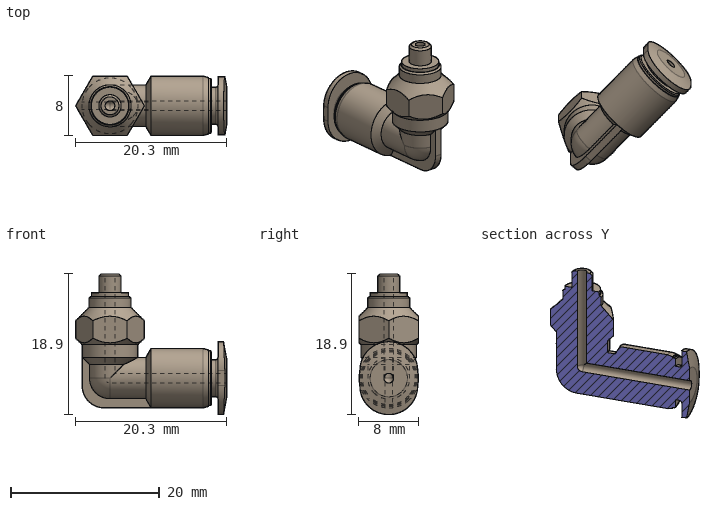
import cadquery as cq
import math

tube_radius = 5.6 / 2
bore_radius = 1.3 / 2

stem_radius = 7.5 / 2
hex_across_flats = 8.0
hex_corner_radius = hex_across_flats / 2 / math.cos(math.pi / 6)
collar_radius = 5.65 / 2
collar_chamfer = 0.25
washer_radius = 5.0 / 2
spigot_radius = 3.0 / 2
spigot_chamfer = 0.3

spigot_top = 14.0
washer_top = 11.5
washer_bottom = 11.0
nut_top = 9.5
nut_bottom = 4.5
stem_bottom = tube_radius
stem_cone_bottom = stem_bottom - (stem_radius - tube_radius)

body_radius = 8.0 / 2
body_start = 5.5
body_cone_angle = math.radians(60)
body_cone_start = body_start - (body_radius - tube_radius) / math.tan(body_cone_angle)
taper_start = 12.5
taper_end = 13.2
taper_angle = math.radians(15)
taper_end_radius = body_radius - (taper_end - taper_start) * math.tan(taper_angle)
lip_radius = 7.39 / 2
lip_chamfer = 0.15
body_end = 13.63
neck_radius = 5.0 / 2
neck_fillet = 0.35

ring_start = 14.5
ring_end = 15.7
ring_height = 9.8
ring_width = 7.8
ring_face_radius = 2.5
ring_bevel_depth = 0.45

fin_thickness = 1.0
fin_corner_radius = 3.0


def make_vertical_leg():
    """Turned profile of the spigot, washer, collar, nut blank and stem, with hexagon flats."""
    nut_upper_corner = nut_top - (hex_corner_radius - collar_radius)
    nut_lower_corner = nut_bottom + (hex_corner_radius - stem_radius)
    turned = (
        cq.Workplane("XZ")
        .moveTo(0, 0)
        .lineTo(tube_radius, 0)
        .lineTo(tube_radius, stem_cone_bottom)
        .lineTo(stem_radius, stem_bottom)
        .lineTo(stem_radius, nut_bottom)
        .lineTo(hex_corner_radius, nut_lower_corner)
        .lineTo(hex_corner_radius, nut_upper_corner)
        .lineTo(collar_radius, nut_top)
        .lineTo(collar_radius, washer_bottom - collar_chamfer)
        .lineTo(collar_radius - collar_chamfer, washer_bottom)
        .lineTo(washer_radius, washer_bottom)
        .lineTo(washer_radius, washer_top)
        .lineTo(spigot_radius, washer_top)
        .lineTo(spigot_radius, spigot_top - spigot_chamfer)
        .lineTo(spigot_radius - spigot_chamfer, spigot_top)
        .lineTo(0, spigot_top)
        .close()
        .revolve(360, (0, 0, 0), (0, 1, 0))
    )
    hexagon = cq.Workplane("XY").polygon(6, 2 * hex_corner_radius).extrude(spigot_top)
    return turned.intersect(hexagon)


def make_horizontal_leg():
    """Turned tube, push-in body with its stepped lip, and the neck that carries the release ring."""
    fillet_start = ring_start - neck_fillet
    fillet_radius = neck_radius + neck_fillet
    fillet_middle_offset = neck_fillet * math.sin(math.pi / 4)
    return (
        cq.Workplane("XY")
        .moveTo(0, 0)
        .lineTo(0, tube_radius)
        .lineTo(body_cone_start, tube_radius)
        .lineTo(body_start, body_radius)
        .lineTo(taper_start, body_radius)
        .lineTo(taper_end, taper_end_radius)
        .lineTo(taper_end, lip_radius)
        .lineTo(body_end - lip_chamfer, lip_radius)
        .lineTo(body_end, lip_radius - lip_chamfer)
        .lineTo(body_end, neck_radius)
        .lineTo(fillet_start, neck_radius)
        .threePointArc(
            (fillet_start + fillet_middle_offset, fillet_radius - fillet_middle_offset),
            (ring_start, fillet_radius),
        )
        .lineTo(ring_start, 0)
        .close()
        .revolve(360, (0, 0, 0), (1, 0, 0))
    )


def make_release_ring():
    """Obround disc, tall along Z, cut back by a shallow cone on its outer face."""
    ring_radius = ring_height / 2
    disc = (
        cq.Workplane("YZ", origin=(ring_start, 0, 0))
        .slot2D(ring_height, ring_width, 90)
        .extrude(ring_end - ring_start)
    )
    envelope = (
        cq.Workplane("XY")
        .moveTo(ring_start, 0)
        .lineTo(ring_start, ring_radius)
        .lineTo(ring_end - ring_bevel_depth, ring_radius)
        .lineTo(ring_end, ring_face_radius)
        .lineTo(ring_end, 0)
        .close()
        .revolve(360, (0, 0, 0), (1, 0, 0))
    )
    return disc.intersect(envelope)


def make_fin():
    """Flat L-shaped rib in the XZ plane, flush with the stem and the body."""
    corner_x = fin_corner_radius - stem_radius
    corner_z = fin_corner_radius - body_radius
    corner_middle_offset = fin_corner_radius * math.sin(math.pi / 4)
    return (
        cq.Workplane("XZ")
        .moveTo(-stem_radius, stem_bottom)
        .lineTo(-stem_radius, corner_z)
        .threePointArc(
            (corner_x - corner_middle_offset, corner_z - corner_middle_offset),
            (corner_x, -body_radius),
        )
        .lineTo(body_start, -body_radius)
        .lineTo(body_start, 0)
        .lineTo(0, 0)
        .lineTo(0, stem_bottom)
        .close()
        .extrude(fin_thickness / 2, both=True)
    )


def make_passage():
    """Flow passage from the spigot tip, round the elbow, and out through the release ring."""
    vertical_bore = cq.Workplane("XY").circle(bore_radius).extrude(spigot_top)
    horizontal_bore = cq.Workplane("YZ").circle(bore_radius).extrude(ring_end)
    bore_ball = cq.Workplane("XY").sphere(bore_radius)
    return vertical_bore.union(horizontal_bore).union(bore_ball)


elbow_ball = cq.Workplane("XY").sphere(tube_radius)

result = (
    make_vertical_leg()
    .union(make_horizontal_leg())
    .union(elbow_ball)
    .union(make_release_ring())
    .union(make_fin())
    .cut(make_passage())
)